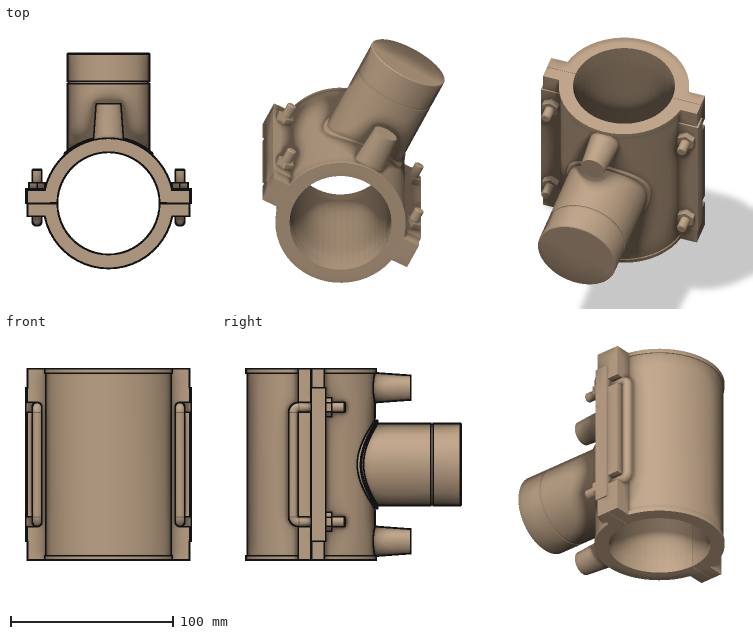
import cadquery as cq

height = 118.0
bore_radius = 31.4
body_radius = 39.4
rim_radius = 40.2
rim_height = 2.7

lug_reach = 50.0
lug_thickness = 8.0
split_gap = 0.3
inner_reach = 35.8

bar_reach = 51.0
bar_thickness = 8.9
bar_height = 94.6

bolt_diameter = 6.0
bolt_x = 44.0
bolt_z = 35.3
bolt_seat_depth = 0.07
bolt_bend_radius = 3.2
bolt_notch_width = 6.2
bolt_tip_y = 21.0
bolt_tip_chamfer = 0.5
nut_across_flats = 10.0
nut_thickness = 4.0

overall_depth = 132.5
branch_diameter = 50.6
branch_end_y = overall_depth - rim_radius
branch_end_chamfer = 0.46
groove_diameter = 49.7
groove_start_y = 73.7
groove_width = 1.5
collar_diameter = 54.5
collar_saddle_radius = 41.1
collar_chamfer = 0.4

terminal_z = 47.3
terminal_tip_y = 61.5
terminal_tip_diameter = 15.2
terminal_base_y = 37.1
terminal_base_diameter = 18.8

bolt_radius = bolt_diameter / 2
crossbar_y = bolt_seat_depth - lug_thickness - bolt_radius
bend_y = crossbar_y + bolt_bend_radius
bend_z = bolt_z - bolt_bend_radius
SIDES = (-1, 1)
ENDS = (-1, 1)


def upright_cylinder(radius, length):
    return cq.Workplane("XY").circle(radius).extrude(length / 2, both=True)


def rod_y(x, z, diameter, start_y, end_y):
    """Round rod along +Y."""
    plane = cq.Plane(origin=(x, start_y, z), xDir=(1, 0, 0), normal=(0, 1, 0))
    return cq.Workplane(plane).circle(diameter / 2).extrude(end_y - start_y)


def box_between(x_pair, y_pair, z_pair):
    """Box between two values on each axis, given in any order."""
    size = [abs(pair[1] - pair[0]) for pair in (x_pair, y_pair, z_pair)]
    center = [(pair[0] + pair[1]) / 2 for pair in (x_pair, y_pair, z_pair)]
    return cq.Workplane("XY").box(*size).translate(tuple(center))


def make_tube():
    tube = upright_cylinder(body_radius, height)
    for end in ENDS:
        rim = upright_cylinder(rim_radius, rim_height)
        tube = tube.union(rim.translate((0, 0, end * (height - rim_height) / 2)))
    return tube


def make_lugs(side):
    """Front and rear lug on one side, the front one notched for the U-bolt legs."""
    lugs = box_between(
        (side * inner_reach, side * lug_reach),
        (-lug_thickness, lug_thickness),
        (-height / 2, height / 2),
    )
    for end in ENDS:
        leg_z = end * bolt_z
        notch = box_between(
            (side * bolt_x, side * lug_reach),
            (-lug_thickness, 0),
            (leg_z - bolt_notch_width / 2, leg_z + bolt_notch_width / 2),
        )
        lugs = lugs.cut(notch)
    return lugs


def make_bar(side):
    return box_between(
        (side * inner_reach, side * bar_reach),
        (0, bar_thickness),
        (-bar_height / 2, bar_height / 2),
    )


def make_bolt_bend(x, end):
    """Quarter turn joining a leg to the crossbar."""
    plane = cq.Plane(origin=(x, bend_y, end * bend_z), xDir=(1, 0, 0), normal=(0, 0, 1))
    section = cq.Workplane(plane).center(0, -bolt_bend_radius).circle(bolt_radius)
    return section.revolve(90, (0, bolt_bend_radius), (-end, bolt_bend_radius))


def make_u_bolt(side):
    x = side * bolt_x
    bolt = upright_cylinder(bolt_radius, 2 * bend_z).translate((x, crossbar_y, 0))
    for end in ENDS:
        leg = rod_y(x, end * bolt_z, bolt_diameter, bend_y, bolt_tip_y)
        leg = leg.faces(">Y").chamfer(bolt_tip_chamfer)
        bolt = bolt.union(leg).union(make_bolt_bend(x, end))
    return bolt


def make_nut(side, end):
    """Hexagon nut with two flats facing along X."""
    origin = (side * bolt_x, bar_thickness, end * bolt_z)
    plane = cq.Plane(origin=origin, xDir=(1, 0, 0), normal=(0, 1, 0))
    return cq.Workplane(plane).polygon(6, nut_across_flats, circumscribed=True).extrude(nut_thickness)


def make_branch():
    branch = rod_y(0, 0, branch_diameter, 0, branch_end_y)
    branch = branch.faces(">Y").chamfer(branch_end_chamfer)
    groove_end_y = groove_start_y + groove_width
    groove = rod_y(0, 0, branch_diameter, groove_start_y, groove_end_y)
    groove = groove.cut(rod_y(0, 0, groove_diameter, groove_start_y, groove_end_y))
    collar = rod_y(0, 0, collar_diameter, 0, collar_saddle_radius)
    collar = collar.intersect(upright_cylinder(collar_saddle_radius, height))
    collar = collar.edges(">Y").chamfer(collar_chamfer)
    return branch.cut(groove).union(collar)


def make_terminal(end):
    plane = cq.Plane(origin=(0, terminal_base_y, end * terminal_z), xDir=(1, 0, 0), normal=(0, 1, 0))
    base = cq.Workplane(plane).circle(terminal_base_diameter / 2)
    tip = base.workplane(offset=terminal_tip_y - terminal_base_y).circle(terminal_tip_diameter / 2)
    return tip.loft(ruled=True)


result = make_tube().union(make_branch())
for end in ENDS:
    result = result.union(make_terminal(end))
for side in SIDES:
    result = result.union(make_lugs(side))

split = cq.Workplane("XY").box(2 * lug_reach, split_gap, height)
result = result.cut(split)

for side in SIDES:
    result = result.union(make_bar(side)).union(make_u_bolt(side))
    for end in ENDS:
        result = result.union(make_nut(side, end))

result = result.cut(upright_cylinder(bore_radius, height))